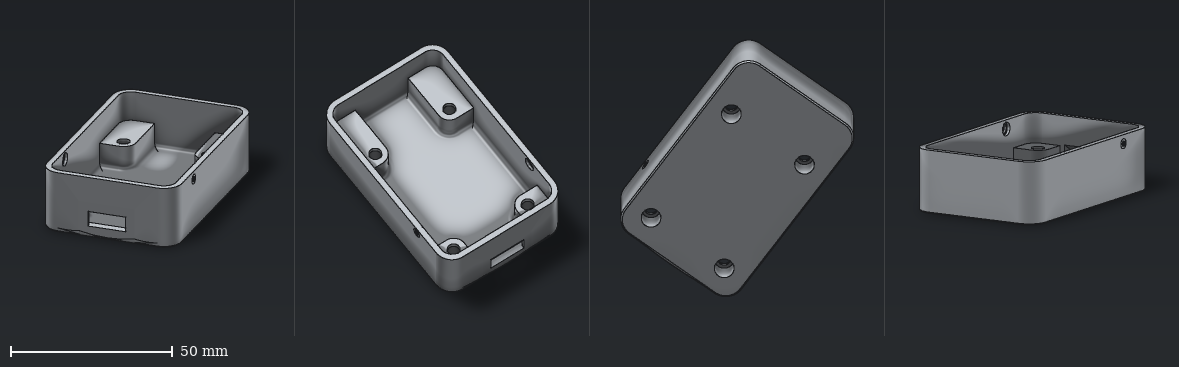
import cadquery as cq
width = 44.75
overall_length = 69.3
height = 20.0
bump_depth = 0.5
wall = 2.0
corner_radius = 6.0
bottom_chamfer = 0.5

length = overall_length - bump_depth
front = -overall_length / 2
front_wall = front + bump_depth
inner_front = front_wall + wall
inner_width = width - 2 * wall
inner_length = length - 2 * wall
middle_y = front_wall + length / 2

hole_x = 14.0
front_hole_y = front_wall + 8.45
back_hole_y = front_hole_y + 42.0
post_radius = 4.0
post_top = 10.45
floor_fillet = 2.0
hole_diameter = 4.0
recess_diameter = 6.0
recess_roof = 1.5

bump_half_width = width / 2 - corner_radius
panel_half_width = 9.2
panel_top = 11.8
bump_corner_low = 1.45
panel_side_low = 1.9
panel_middle_low = 0.9

window_half_width = 6.2
window_bottom = 4.0
window_top = 8.8
window_wall = 1.0
pocket_flare = 2.0
sill_depth = 0.75
sill_drop = 0.15

side_hole_y = front + 17.2
side_hole_z = height - 2.9
side_hole_diameter = 1.5
seat_diameter = 3.1
seat_depth = 1.8
flange_diameter = 4.2
flange_depth = 1.0


def box(x_size, y_size, z_size, center_x, center_y, bottom):
    """Block standing on the given height."""
    block = cq.Workplane("XY").box(x_size, y_size, z_size, centered=(True, True, False))
    return block.translate((center_x, center_y, bottom))


def front_rectangle(y, half_width, low, high):
    """Closed upright rectangle in the plane at y."""
    corners = [(-half_width, low), (half_width, low), (half_width, high), (-half_width, high)]
    return cq.Wire.makePolygon([cq.Vector(x, y, z) for x, z in corners], close=True)


def loft(first, second):
    """Ruled solid between two closed outlines."""
    return cq.Workplane(obj=cq.Solid.makeLoft([first, second], True))


def make_shell():
    outer = box(width, length, height, 0, middle_y, 0)
    outer = outer.edges("|Z").fillet(corner_radius)
    return outer.faces("<Z").edges().chamfer(bottom_chamfer)


def underside_outline(y, outer_low, side_low, middle_low):
    """Area below the bump in the plane at y, closed well under the box."""
    outer_right = cq.Vector(bump_half_width, y, outer_low)
    side_right = cq.Vector(panel_half_width, y, side_low)
    side_left = cq.Vector(-panel_half_width, y, side_low)
    outer_left = cq.Vector(-bump_half_width, y, outer_low)
    under_left = cq.Vector(-bump_half_width, y, -height)
    under_right = cq.Vector(bump_half_width, y, -height)
    if middle_low == side_low:
        middle = cq.Edge.makeLine(side_right, side_left)
    else:
        middle = cq.Edge.makeThreePointArc(side_right, cq.Vector(0, y, middle_low), side_left)
    return cq.Wire.assembleEdges([
        cq.Edge.makeLine(outer_right, side_right),
        middle,
        cq.Edge.makeLine(side_left, outer_left),
        cq.Edge.makeLine(outer_left, under_left),
        cq.Edge.makeLine(under_left, under_right),
        cq.Edge.makeLine(under_right, outer_right),
    ])


def make_bump():
    """Shallow tapered panel on the front wall, blended back into the wall along its lower edge."""
    root = front_rectangle(front_wall, bump_half_width, bottom_chamfer, height)
    face = front_rectangle(front, panel_half_width, bottom_chamfer, panel_top)
    underside = loft(
        underside_outline(front_wall, bump_corner_low, bottom_chamfer, bottom_chamfer),
        underside_outline(front, panel_side_low, panel_side_low, panel_middle_low),
    )
    return loft(root, face).cut(underside)


def make_post(side, hole_y, end):
    """Oversized block filling one inside corner; only the edge facing the middle is rounded."""
    reach = length
    offset = reach / 2 - post_radius
    block = box(reach, reach, height, side * (hole_x + offset), hole_y + end * offset, 0)
    free_corner = (side * (hole_x - post_radius), hole_y - end * post_radius, height / 2)
    return block.edges(cq.selectors.NearestToPointSelector(free_corner)).fillet(post_radius)


def make_cavity():
    """Inside space: open above the posts, cross-shaped between them, rounded at the floor."""
    upper = box(inner_width, inner_length, height, 0, middle_y, post_top)
    upper = upper.edges("|Z").fillet(corner_radius - wall)
    lower = box(inner_width, inner_length, post_top - wall, 0, middle_y, wall)
    for side in (-1, 1):
        lower = lower.cut(make_post(side, front_hole_y, -1))
        lower = lower.cut(make_post(side, back_hole_y, 1))
    lower = lower.faces("<Z").edges().fillet(floor_fillet)
    return upper.union(lower)


def make_window():
    """Opening in the front panel with a sloping sill, flaring out towards the inside."""
    window_back = front + window_wall
    opening = loft(
        front_rectangle(front, window_half_width, window_bottom, window_top),
        front_rectangle(window_back, window_half_width, window_bottom, window_top),
    )
    sill = loft(
        front_rectangle(front, window_half_width, window_bottom - sill_drop, window_top),
        front_rectangle(front + sill_depth, window_half_width, window_bottom, window_top),
    )
    pocket = loft(
        front_rectangle(window_back, window_half_width, window_bottom, window_top),
        front_rectangle(inner_front, window_half_width + pocket_flare, window_bottom,
                        window_top + pocket_flare),
    )
    return opening.union(sill).union(pocket)


def make_side_holes():
    """Coaxial steps along X, narrowing from the inner faces outwards."""
    steps = [
        (side_hole_diameter, width),
        (seat_diameter, inner_width + 2 * seat_depth),
        (flange_diameter, inner_width + 2 * flange_depth),
    ]
    holes = cq.Workplane("YZ")
    for diameter, span in steps:
        step = cq.Workplane("YZ").center(side_hole_y, side_hole_z).circle(diameter / 2)
        holes = holes.add(step.extrude(span / 2, both=True))
    return holes.combine()


def make_screw_holes():
    centers = [(side * hole_x, y) for side in (-1, 1) for y in (front_hole_y, back_hole_y)]
    pattern = cq.Workplane("XY").pushPoints(centers)
    holes = pattern.circle(hole_diameter / 2).extrude(height)
    recesses = pattern.circle(recess_diameter / 2).extrude(post_top - recess_roof)
    return holes.union(recesses)


result = make_shell().union(make_bump())
for space in (make_cavity(), make_window(), make_side_holes(), make_screw_holes()):
    result = result.cut(space)